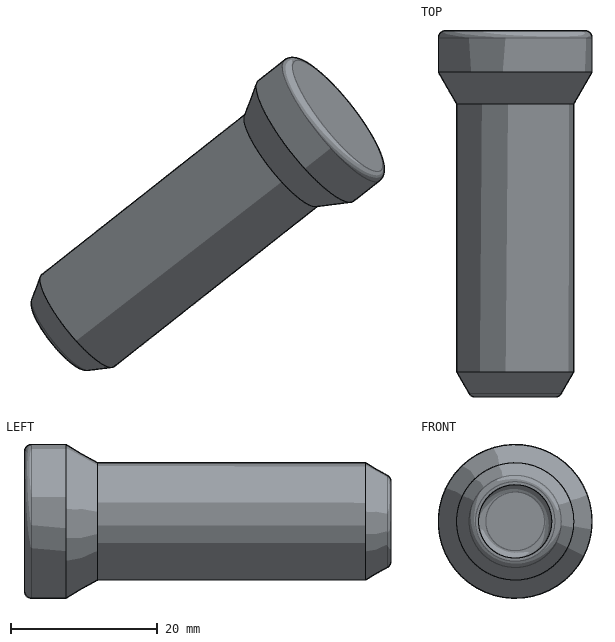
import cadquery as cq
import math

length = 50.0
head_radius = 10.5
body_radius = 8.0
tip_radius = 6.0
taper_angle = 30.0
head_length = 10.0
bore_radius = 5.0
bore_depth = length - head_length
edge_round = 1.0

tip_y = -length / 2
head_end_y = length / 2
taper_slope = math.tan(math.radians(taper_angle))
tip_cone_end_y = tip_y + (body_radius - tip_radius) / taper_slope
head_cone_start_y = head_end_y - head_length
head_cone_end_y = head_cone_start_y + (head_radius - body_radius) / taper_slope


def make_body():
    """Solid of revolution with rounded end edges."""
    profile = (
        cq.Workplane("XY")
        .moveTo(0, tip_y)
        .lineTo(tip_radius, tip_y)
        .lineTo(body_radius, tip_cone_end_y)
        .lineTo(body_radius, head_cone_start_y)
        .lineTo(head_radius, head_cone_end_y)
        .lineTo(head_radius, head_end_y)
        .lineTo(0, head_end_y)
        .close()
    )
    body = profile.revolve(360, (0, 0, 0), (0, 1, 0))
    return body.faces("<Y or >Y").edges().fillet(edge_round)


def make_bore():
    """Blind bore from the tip, with a rounded floor corner."""
    bore = cq.Workplane("XZ", origin=(0, tip_y, 0)).circle(bore_radius).extrude(-bore_depth)
    return bore.faces(">Y").edges().fillet(edge_round)


result = make_body().cut(make_bore())